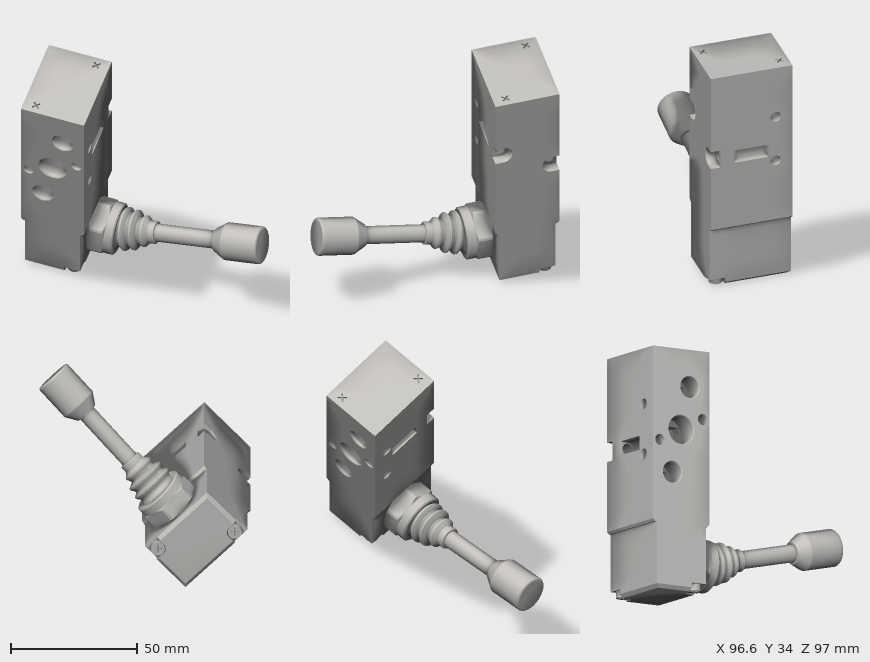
import cadquery as cq
import math


total_height = 97.0
width = 26.4
depth = 34.0
cap_height = 6.5
body_height = 52.0
adapter_height = 12.0
cap_bottom = total_height - cap_height
body_bottom = cap_bottom - body_height
adapter_bottom = body_bottom - adapter_height
body_middle = body_bottom + body_height / 2
front_face = -depth / 2
back_face = depth / 2
adapter_chamfer = 1.0

base_left = 11.4
base_right = 11.5
base_chamfer = 1.5

port_offset_x = 4.1
port_pitch_z = 35.0
port_offset_z = port_pitch_z / 2
port_depth = 9.7
port_chamfer = 0.3
passage_depth = 3.9
small_port_radius = 4.3
small_passage_radius = 3.6
small_passage_height = 3.4
large_port_radius = 5.7
large_passage_radius = 5.0
large_passage_height = 5.2

hole_diameter = 4.4
front_hole_x = 10.0
front_hole_z = 5.0
side_hole_y = front_face + 7.0
side_hole_pitch = 20.1
side_hole_z = side_hole_pitch / 2

nut_recess_height = 5.6
nut_recess_front = front_face + 10.1
nut_recess_back = front_face + 24.2
head_recess_height = 7.8
head_recess_length = 4.1

screw_pitch_x = 16.0
screw_x = screw_pitch_x / 2
screw_y = 13.4
screw_head_diameter = 5.5
screw_head_radius = screw_head_diameter / 2
screw_head_height = 2.8
recess_length = 3.7
recess_width = 0.7
recess_depth = 1.0
pocket_radius = 3.1
pocket_height = 3.4

lever_z = 14.3
nut_length = 7.2
nut_across_flats = 20.1
nut_turned_diameter = 22.6
nut_corner_radius = nut_turned_diameter / 2
nut_end_radius = 10.0
nut_chamfer_length = 0.8
nut_rotation = 22.9
collar_radius = 10.6
collar_length = 3.7
collar_chamfer = 0.5

lever_tilt = 12.5
pivot_x = base_right + nut_length

bellows_start_radius = 8.7
bellows_start = 2.3
fold_flat = 0.7
bellows_folds = [(4.6, 7.4), (6.9, 8.7), (8.6, 7.0), (10.9, 8.05), (12.8, 5.5), (14.8, 6.3)]
cuff_start = 16.9
cuff_end = 19.8
cuff_radius = 4.6
cuff_fillet = 0.4
rod_radius = 3.6
knob_start = 44.8
knob_cone_end = 49.6
knob_end = 64.8
knob_neck_radius = 4.6
knob_radius = 7.6
knob_end_fillet = 1.0
knob_shoulder_fillet = 0.8


def block(bottom, height):
    """Full-section block of the stack."""
    return cq.Workplane("XY").workplane(offset=bottom).rect(width, depth).extrude(height)


def cylinder_along_y(x, z, radius, start, end):
    """Cylinder parallel to Y between two Y positions."""
    return cq.Workplane("XZ", origin=(x, start, z)).circle(radius).extrude(start - end)


def make_cap():
    cap = block(cap_bottom, cap_height)
    for side in (1, -1):
        counterbore = (
            cq.Workplane("XY", origin=(side * screw_x, side * screw_y, total_height))
            .circle(screw_head_radius)
            .extrude(-screw_head_height)
        )
        cap = cap.cut(counterbore)
    return cap


def port(x, z, radius, passage_radius, passage_height):
    """Chamfered blind port with a flat-sided passage in its floor."""
    bore = cylinder_along_y(x, z, radius, front_face, front_face + port_depth)
    mouth = (
        cq.Workplane("XZ", origin=(x, front_face, z))
        .circle(radius + port_chamfer)
        .workplane(offset=-port_chamfer)
        .circle(radius)
        .loft()
    )
    floor = front_face + port_depth
    band = cq.Workplane("XZ", origin=(x, floor, z)).rect(2 * radius, passage_height).extrude(-passage_depth)
    passage = cylinder_along_y(x, z, passage_radius, floor, floor + passage_depth).intersect(band)
    return bore.union(mouth).union(passage)


def side_recess(side, start, end, height):
    """U-shaped recess from a side face to around a front mounting hole; side is +1 or -1 in X."""
    x = side * front_hole_x
    z = body_middle + side * front_hole_z
    length = width / 2 - front_hole_x
    slot = cq.Workplane("XY").box(length, end - start, height)
    slot = slot.translate((x + side * length / 2, (start + end) / 2, z))
    return slot.union(cylinder_along_y(x, z, height / 2, start, end))


def make_body():
    body = block(body_bottom, body_height)
    body = body.cut(port(0, body_middle, large_port_radius, large_passage_radius, large_passage_height))
    for side in (1, -1):
        body = body.cut(
            port(
                side * port_offset_x,
                body_middle + side * port_offset_z,
                small_port_radius,
                small_passage_radius,
                small_passage_height,
            )
        )
        hole_z = body_middle + side * front_hole_z
        body = body.cut(cylinder_along_y(side * front_hole_x, hole_z, hole_diameter / 2, front_face, back_face))
        body = body.cut(side_recess(side, nut_recess_front, nut_recess_back, nut_recess_height))
        body = body.cut(side_recess(side, back_face - head_recess_length, back_face, head_recess_height))
        side_hole = (
            cq.Workplane("YZ", origin=(-width / 2, side_hole_y, body_middle + side * side_hole_z))
            .circle(hole_diameter / 2)
            .extrude(width)
        )
        body = body.cut(side_hole)
    return body


def make_adapter():
    return block(adapter_bottom, adapter_height).edges("|Y and <Z").chamfer(adapter_chamfer)


def corner_pocket(side):
    """Base corner cut away around a screw head, leaving a rounded inner corner."""
    x = side * screw_x
    y = -side * screw_y
    reach = 2 * pocket_radius
    span = pocket_radius + reach
    corner = cq.Workplane("XY").rect(span, span).extrude(pocket_height)
    inner_edge = "<X and >Y" if side > 0 else ">X and <Y"
    corner = corner.edges("|Z").edges(inner_edge).fillet(pocket_radius)
    shift = side * (span / 2 - pocket_radius)
    return corner.translate((x + shift, y - shift, 0))


def make_base():
    base = (
        cq.Workplane("XY")
        .center((base_right - base_left) / 2, 0)
        .rect(base_left + base_right, depth)
        .extrude(adapter_bottom)
        .faces("<Z")
        .chamfer(base_chamfer)
    )
    for side in (1, -1):
        base = base.cut(corner_pocket(side))
    return base


def make_screw():
    """Screw head with its top at Z = 0 and a diagonal cross recess."""
    head = cq.Workplane("XY").circle(screw_head_radius).extrude(-screw_head_height)
    for angle in (45, -45):
        arm = cq.Workplane("XY").rect(recess_length, recess_width).extrude(-recess_depth)
        head = head.cut(arm.rotate((0, 0, 0), (0, 0, 1), angle))
    return head


def make_screws():
    """Two screws sunk in the cap and two hanging under the pocket ceilings of the base."""
    upright = make_screw()
    inverted = upright.rotate((0, 0, 0), (1, 0, 0), 180)
    inverted_z = pocket_height - screw_head_height
    screws = []
    for side in (1, -1):
        screws.append(upright.translate((side * screw_x, side * screw_y, total_height)))
        screws.append(inverted.translate((side * screw_x, -side * screw_y, inverted_z)))
    return screws


def make_nut():
    """Hexagonal nut along X, its corners turned down and chamfered, with a round collar."""
    corner_diameter = nut_across_flats / math.cos(math.radians(30))
    hexagon = cq.Workplane("YZ").polygon(6, corner_diameter).extrude(nut_length)
    hexagon = hexagon.rotate((0, 0, 0), (1, 0, 0), nut_rotation)
    turned = (
        cq.Workplane("XY")
        .polyline(
            [
                (0, 0),
                (0, nut_end_radius),
                (nut_chamfer_length, nut_corner_radius),
                (nut_length - nut_chamfer_length, nut_corner_radius),
                (nut_length, nut_end_radius),
                (nut_length, 0),
            ]
        )
        .close()
        .revolve(360, (0, 0, 0), (1, 0, 0))
    )
    collar = cq.Workplane("YZ", origin=(nut_length, 0, 0)).circle(collar_radius).extrude(collar_length)
    collar = collar.faces(">X").chamfer(collar_chamfer)
    return hexagon.intersect(turned).union(collar).translate((base_right, 0, lever_z))


def turned_on_axis(points):
    """Solid turned about X from the (distance, radius) points of its outline."""
    return cq.Workplane("XY").polyline(points).close().revolve(360, (0, 0, 0), (1, 0, 0))


def make_bellows():
    points = [(0, 0), (0, bellows_start_radius), (bellows_start, bellows_start_radius)]
    for distance, radius in bellows_folds:
        points.append((distance - fold_flat / 2, radius))
        points.append((distance + fold_flat / 2, radius))
    points += [(cuff_start, cuff_radius), (cuff_end, cuff_radius), (cuff_end, 0)]
    return turned_on_axis(points).faces(">X").edges().fillet(cuff_fillet)


def make_knob():
    knob = turned_on_axis(
        [
            (knob_start, 0),
            (knob_start, knob_neck_radius),
            (knob_cone_end, knob_radius),
            (knob_end, knob_radius),
            (knob_end, 0),
        ]
    )
    knob = knob.faces(">X").edges().fillet(knob_end_fillet)
    shoulder = cq.selectors.NearestToPointSelector((knob_cone_end, 0, 0))
    return knob.edges("%CIRCLE").edges(shoulder).fillet(knob_shoulder_fillet)


def make_lever():
    rod = cq.Workplane("YZ").circle(rod_radius).extrude(knob_start)
    arm = make_bellows().union(rod).union(make_knob())
    arm = arm.rotate((0, 0, 0), (0, 1, 0), -lever_tilt).translate((pivot_x, 0, lever_z))
    return make_nut().union(arm)


cap = make_cap()
body = make_body()
adapter = make_adapter()
base = make_base()
screws = make_screws()
lever = make_lever()

result = cq.Compound.makeCompound(
    [cap.val(), body.val(), adapter.val(), base.val(), *[screw.val() for screw in screws], lever.val()]
)